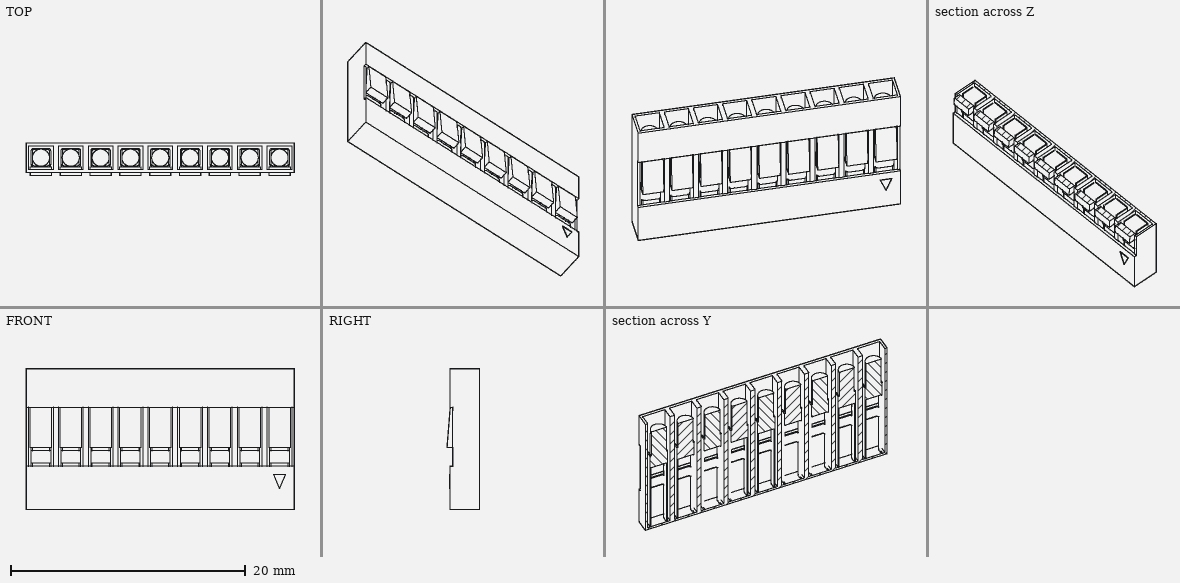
import cadquery as cq


positions = 9
length = 22.85
pitch = length / positions
depth = 2.54
height = 12.0
center_x = length / 2
center_y = depth / 2
contact_centers = [pitch * (i + 0.5) for i in range(positions)]

cavity_width = 2.1
cavity_wall = 0.27
cavity_back = depth - cavity_wall
floor_top = 0.27

groove_bottom = 3.7
groove_top = 8.7
groove_depth = 0.23

contact_width = 1.67
contact_depth = 1.6
contact_wall = 0.11
contact_corner_radius = 0.23
contact_top = 8.23
contact_front = center_y - contact_depth / 2
open_front_end = contact_front + contact_corner_radius
strap_bottom = 3.95
strap_top = 5.03
barrel_radius = 0.73
barrel_bottom = 6.85
barrel_top = 10.95

latch_width = 1.83
latch_bottom = 5.28
latch_reach = 0.25
latch_root_setback = 0.02

mark_width = 1.0
mark_top = 3.0
mark_tip = 1.78
mark_thickness = 0.05


def box(x_center, width, y_min, y_max, z_min, z_max):
    """Box centred on x_center in X, between the given Y and Z limits."""
    return (
        cq.Workplane("XY")
        .box(width, y_max - y_min, z_max - z_min, centered=(True, False, False))
        .translate((x_center, y_min, z_min))
    )


def make_latch(x):
    """Tongue hanging from the top of a window and leaning out of the front face."""
    profile = [
        (latch_root_setback, groove_top),
        (-latch_reach, latch_bottom),
        (contact_front, latch_bottom),
        (cavity_wall, groove_top),
    ]
    return (
        cq.Workplane("YZ", origin=(x - latch_width / 2, 0, 0))
        .polyline(profile)
        .close()
        .extrude(latch_width)
    )


def make_mark(x):
    """Triangle pointing down, raised from the front face."""
    outline = [
        (x - mark_width / 2, mark_top),
        (x + mark_width / 2, mark_top),
        (x, mark_tip),
    ]
    return cq.Workplane("XZ").polyline(outline).close().extrude(mark_thickness)


def make_housing():
    """Block with a front groove and, at each position, a cavity, a window and a latch."""
    housing = box(center_x, length, 0, depth, 0, height)
    housing = housing.cut(box(center_x, length, 0, groove_depth, groove_bottom, groove_top))
    for x in contact_centers:
        cavity = box(x, cavity_width, cavity_wall, cavity_back, floor_top, height)
        window = box(x, cavity_width, 0, cavity_wall, groove_bottom, groove_top)
        housing = housing.cut(cavity).cut(window).union(make_latch(x))
    return housing.union(make_mark(contact_centers[-1]))


def rounded_bar(x, width, bar_depth, corner_radius):
    """Upright bar with rounded corners, as tall as the square part of a contact."""
    return (
        cq.Workplane("XY", origin=(x, center_y, floor_top))
        .rect(width, bar_depth)
        .extrude(contact_top - floor_top)
        .edges("|Z")
        .fillet(corner_radius)
    )


def make_contact(x):
    """Square tube with a strap across its open front and a round barrel on top."""
    outside = rounded_bar(x, contact_width, contact_depth, contact_corner_radius)
    bore = rounded_bar(
        x,
        contact_width - 2 * contact_wall,
        contact_depth - 2 * contact_wall,
        contact_corner_radius - contact_wall,
    )
    below_strap = box(x, contact_width, contact_front, open_front_end, floor_top, strap_bottom)
    above_strap = box(x, contact_width, contact_front, open_front_end, strap_top, contact_top)
    tube = outside.cut(bore).cut(below_strap).cut(above_strap)
    barrel = (
        cq.Workplane("XY", origin=(x, center_y, barrel_bottom))
        .circle(barrel_radius)
        .extrude(barrel_top - barrel_bottom)
    )
    return tube.union(barrel)


housing = make_housing()
contacts = [make_contact(x) for x in contact_centers]

result = cq.Compound.makeCompound([housing.val(), *[contact.val() for contact in contacts]])